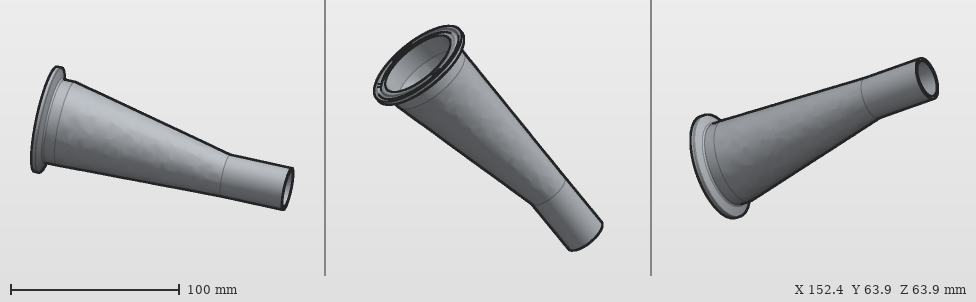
import cadquery as cq
import math

total_length = 152.4
large_diameter = 50.7
large_bore = 47.5
small_diameter = 25.5
small_bore = 22.1

taper_start = 12.5
taper_end = 114.5

flange_diameter = 63.9
rim_thickness = 2.7
rim_rounding = 0.5
flange_back_angle = 20.0
neck_fillet = 1.2

groove_mean_radius = 28.2
groove_width = 2.7
groove_depth = 1.0
groove_edge_rounding = 0.6

small_end_offset = -(large_diameter - small_diameter) / 2


def reducer_solid(large, small):
    """Straight large end, eccentric taper and straight small end for one pair of diameters."""
    large_end = cq.Workplane("YZ").circle(large / 2).extrude(taper_start)
    taper = (
        cq.Workplane("YZ", origin=(taper_start, 0, 0))
        .circle(large / 2)
        .workplane(offset=taper_end - taper_start)
        .center(small_end_offset, 0)
        .circle(small / 2)
        .loft(ruled=True)
    )
    small_end = (
        cq.Workplane("YZ", origin=(taper_end, small_end_offset, 0))
        .circle(small / 2)
        .extrude(total_length - taper_end)
    )
    return large_end.union(taper).union(small_end)


def revolve_about_tube(profile):
    """Revolve a profile drawn in X and radius about the axis of the large end."""
    return profile.close().revolve(360, (0, 0, 0), (1, 0, 0))


def clamp_flange():
    """Rim with a rounded rear edge and a sloped back blending into the neck."""
    rim_radius = flange_diameter / 2
    neck_radius = large_diameter / 2
    slope = math.radians(flange_back_angle)
    slope_end = rim_thickness + (rim_radius - neck_radius) * math.tan(slope)

    half_sweep = (math.pi / 2 - slope) / 2
    tangent_length = neck_fillet * math.tan(half_sweep)
    fillet_start = (
        slope_end - tangent_length * math.sin(slope),
        neck_radius + tangent_length * math.cos(slope),
    )
    fillet_end = (slope_end + tangent_length, neck_radius)
    fillet_middle = (
        fillet_end[0] - neck_fillet * math.sin(half_sweep),
        neck_radius + neck_fillet * (1 - math.cos(half_sweep)),
    )
    inner_radius = (neck_radius + large_bore / 2) / 2
    profile = (
        cq.Workplane("XY")
        .moveTo(0, inner_radius)
        .lineTo(0, rim_radius)
        .lineTo(rim_thickness, rim_radius)
        .lineTo(*fillet_start)
        .threePointArc(fillet_middle, fillet_end)
        .lineTo(fillet_end[0], inner_radius)
    )
    rear_edge = cq.selectors.BoxSelector(
        (rim_thickness - rim_rounding, -rim_radius, -rim_radius),
        (rim_thickness + rim_rounding, rim_radius, rim_radius),
    )
    return revolve_about_tube(profile).edges(rear_edge).fillet(rim_rounding)


def gasket_groove():
    """Ring cutter with a circular-arc section."""
    profile = (
        cq.Workplane("XY")
        .moveTo(0, groove_mean_radius - groove_width / 2)
        .threePointArc((groove_depth, groove_mean_radius), (0, groove_mean_radius + groove_width / 2))
    )
    return revolve_about_tube(profile)


outside = reducer_solid(large_diameter, small_diameter).union(clamp_flange())
hollow = outside.cut(reducer_solid(large_bore, small_bore)).cut(gasket_groove())

inner_rim = cq.selectors.RadiusNthSelector(1)
outer_rim = cq.selectors.RadiusNthSelector(2)
face_circles = hollow.faces("<X").edges("%CIRCLE")
result = face_circles.edges(inner_rim + outer_rim).fillet(groove_edge_rounding)